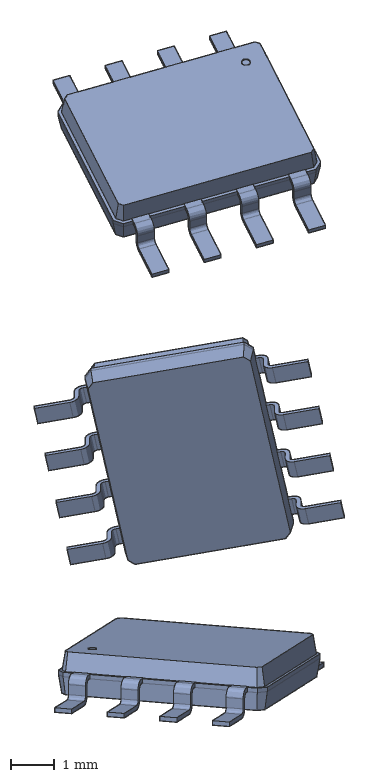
import cadquery as cq
import math

span = 6.35
total_height = 1.1

waist_width = 3.905
waist_length = 5.05
corner_chamfer = 0.18
ledge = 0.075
draft_inset = 0.07

lead_thickness = 0.11
lead_width = 0.41
lead_pitch = 1.27
leads_per_side = 4
lead_top = 0.655
lead_rise = 0.005
bend_inner_radius = 0.1
riser_outer_x = 2.25
lead_root_x = 1.78

mark_diameter = 0.2
mark_depth = 0.03
mark_x = -1.3
mark_y = 1.875

waist_top = lead_top - lead_rise
waist_bottom = lead_top - lead_thickness
body_bottom = lead_thickness


def body_outline(inset):
    """Corner points of the waist outline with every side moved inward by inset."""
    half_x = waist_width / 2 - inset
    half_y = waist_length / 2 - inset
    cut = corner_chamfer - (2 - math.sqrt(2)) * inset
    return [
        (half_x, half_y - cut),
        (half_x - cut, half_y),
        (cut - half_x, half_y),
        (-half_x, half_y - cut),
        (-half_x, cut - half_y),
        (cut - half_x, -half_y),
        (half_x - cut, -half_y),
        (half_x, cut - half_y),
    ]


def body_layer(start_z, start_inset, end_z, end_inset):
    """Flat-sided layer of the body between two inset outlines."""
    return (
        cq.Workplane("XY", origin=(0, 0, start_z))
        .polyline(body_outline(start_inset))
        .close()
        .workplane(offset=end_z - start_z)
        .polyline(body_outline(end_inset))
        .close()
        .loft(ruled=True)
    )


def make_body():
    lower = body_layer(body_bottom, draft_inset, waist_bottom, 0)
    waist = body_layer(waist_bottom, 0, waist_top, 0)
    upper = body_layer(waist_top, ledge, total_height, ledge + draft_inset)
    return lower.union(waist).union(upper)


def make_lead():
    """Gull-wing lead on the +X side, centred on Y = 0."""
    inner = bend_inner_radius
    outer = bend_inner_radius + lead_thickness
    tip_x = span / 2
    riser_inner_x = riser_outer_x - lead_thickness
    shoulder_x = riser_outer_x - outer
    foot_x = riser_outer_x + inner
    upper_z = lead_top - outer
    lower_z = outer
    diagonal = math.sqrt(0.5)

    def upper_bend_middle(radius):
        return (shoulder_x + radius * diagonal, upper_z + radius * diagonal)

    def lower_bend_middle(radius):
        return (foot_x - radius * diagonal, lower_z - radius * diagonal)

    return (
        cq.Workplane("XZ")
        .moveTo(lead_root_x, lead_top)
        .lineTo(shoulder_x, lead_top)
        .threePointArc(upper_bend_middle(outer), (riser_outer_x, upper_z))
        .lineTo(riser_outer_x, lower_z)
        .threePointArc(lower_bend_middle(inner), (foot_x, lead_thickness))
        .lineTo(tip_x, lead_thickness)
        .lineTo(tip_x, 0)
        .lineTo(foot_x, 0)
        .threePointArc(lower_bend_middle(outer), (riser_inner_x, lower_z))
        .lineTo(riser_inner_x, upper_z)
        .threePointArc(upper_bend_middle(inner), (shoulder_x, lead_top - lead_thickness))
        .lineTo(lead_root_x, lead_top - lead_thickness)
        .close()
        .extrude(lead_width / 2, both=True)
    )


def add_leads(body):
    right_lead = make_lead()
    left_lead = right_lead.mirror("YZ")
    first_y = -lead_pitch * (leads_per_side - 1) / 2
    for index in range(leads_per_side):
        offset = (0, first_y + index * lead_pitch, 0)
        body = body.union(right_lead.translate(offset))
        body = body.union(left_lead.translate(offset))
    return body


def cut_pin_mark(body):
    """Shallow round recess in the top face beside pin 1."""
    mark = (
        cq.Workplane("XY", origin=(mark_x, mark_y, total_height))
        .circle(mark_diameter / 2)
        .extrude(-mark_depth)
    )
    return body.cut(mark)


result = cut_pin_mark(add_leads(make_body()))